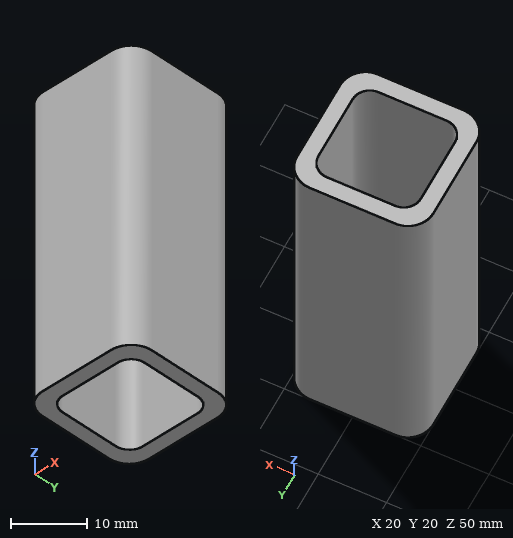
import cadquery as cq

length = 50.0
width = 20.0
wall = 2.5
outer_radius = 3.75
inner_radius = 2.5


def rounded_bar(side, corner_radius):
    """Square bar of full length with rounded upright edges."""
    return cq.Workplane("XY").rect(side, side).extrude(length).edges("|Z").fillet(corner_radius)


outside = rounded_bar(width, outer_radius)
bore = rounded_bar(width - 2 * wall, inner_radius)

result = outside.cut(bore)